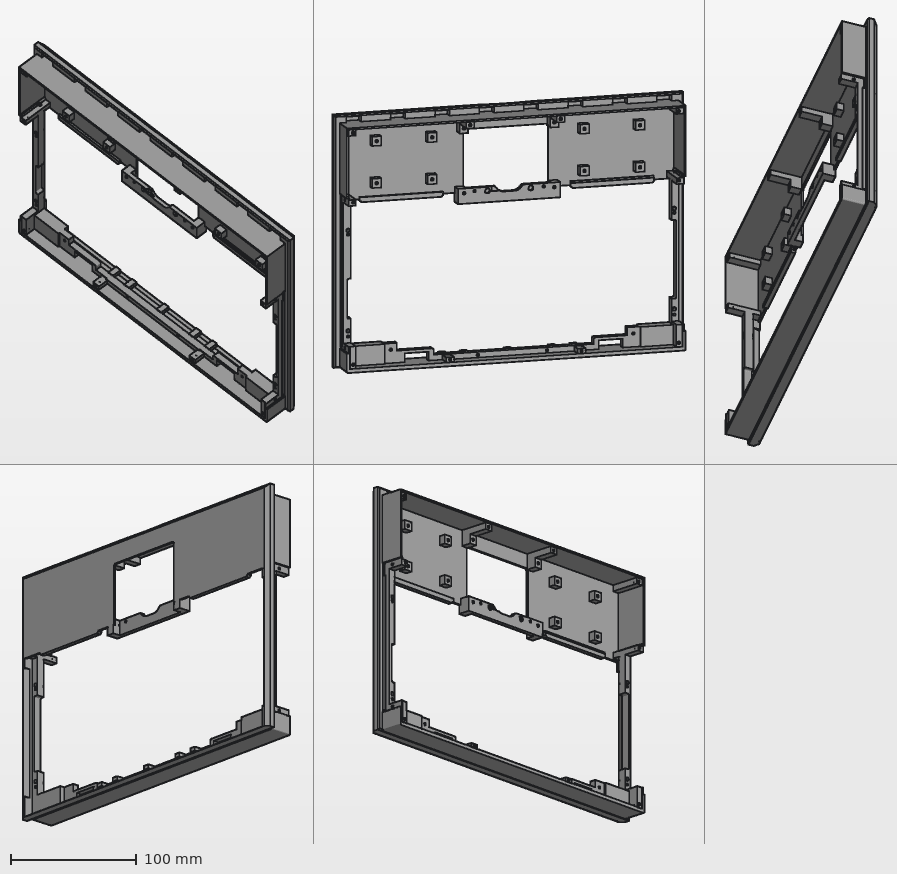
import cadquery as cq

LENGTH = 290.0
DEPTH = 29.0
HEIGHT = 205.5
RIGHT = LENGTH / 2
FRONT, BACK = -DEPTH / 2, DEPTH / 2
BOTTOM, TOP = -HEIGHT / 2, HEIGHT / 2

RIM_FRONT = 5.5
RIM_BACK_CHAMFER = 3.5
RIM_FRONT_CHAMFER = 1.2
FLOOR_TOP = BOTTOM + 3.2
WALL = 1.5
SHELL_RIGHT = 140.6
SHELL_TOP = 96.5
SHELL_INNER_RIGHT = SHELL_RIGHT - WALL
SHELL_INNER_TOP = SHELL_TOP - WALL
UPPER_WALL_BOTTOM = 39.2
LOWER_WALL_TOP = -87.0
FLOOR_CORNER_FILLET = 1.5
BEVEL_START = 9.0
FLOOR_BEVEL = 3.0
SIDE_BEVEL = 2.0
SIDE_BEVEL_BOTTOM, SIDE_BEVEL_TOP = -85.3, 23.8

RIM_POCKET_COUNT = 8
RIM_POCKET_PITCH = 36.8
RIM_POCKET_WIDTH = 12.2
RIM_POCKET_DEPTH = 6.5
RIM_POCKET_TOP = 101.2

SCOOP_WIDTH = 44.0
SCOOP_DEPTH = 0.5
SCOOP_REACH = 3.0

PLATE_FRONT = 12.8
PLATE_BOTTOM = 31.5
GAP_CENTRE = -0.3
GAP_WIDTH = 70.5
GAP_TOP = 83.0

BOSS_SIZE = 7.5
BOSS_FRONT = 7.0
BOSS_X_NEAR, BOSS_X_FAR = 63.2, 109.3
BOSS_Z_UPPER_LEFT = 79.5
BOSS_Z_UPPER_RIGHT = 78.0
BOSS_ROW_PITCH = 34.2

LEDGE_NEAR, LEDGE_FAR = 53.0, 122.0
LEDGE_FRONT = 10.7
LEDGE_BOTTOM, LEDGE_TOP = 29.5, 33.5
LEDGE_CHAMFER = 1.5
RIDGE_TOP = 35.0
RIDGE_FRONT = 11.5

SCREW_DIAMETER = 2.2
PIN_DIAMETER = 2.0
SLOT_DIAMETER = 3.0
LENS_DIAMETER = 4.0
BLIND_DEPTH = 4.4

BAR_WIDTH = 85.0
BAR_BOTTOM, BAR_TOP = 24.5, 36.8
BAR_FRONT = 3.8
BAR_THICKNESS = 3.8
BAR_LUG_WIDTH = 7.0
BAR_SCREW_X, BAR_PIN_X, BAR_LENS_X = 37.5, 28.7, 18.0
BAR_SCREW_Z, BAR_PIN_Z, BAR_LENS_Z = 33.0, 34.2, 33.5
NOTCH_BOTTOM = 32.2
NOTCH_HALF_TOP, NOTCH_HALF_BOTTOM = 11.5, 4.0
POCKET_LEFT, POCKET_RIGHT, POCKET_BOTTOM = -14.8, -7.2, 33.0
POCKET_DEPTH = 1.7
COLUMN_NEAR, COLUMN_FAR = 34.2, 41.0
COLUMN_BOTTOM, COLUMN_STEP = 81.8, 89.5
COLUMN_FRONT = -13.3
COLUMN_HOLES_Z = (85.8, 92.2)

STRIP_INNER = 133.0
STRIP_FRONT, STRIP_BACK = -0.5, 6.5
POST_BOTTOM = 90.0
POST_HOLE_X, POST_HOLE_Z = 135.0, 92.2
RAIL_OUTER = 138.0
RAIL_BOTTOM, RAIL_TOP = 33.0, 38.0
LOWER_RAIL_TOP = -81.5
LOWER_RAIL_FRONT = -14.0
RIB_FRONT, RIB_END_FRONT = 3.2, 4.4
RIB_OUTER = 140.0
RIB_BOTTOM, RIB_TOP = -85.3, 28.5
RAIL_HOLE_X = 135.0
RAIL_HOLE_Z, LOWER_RAIL_HOLE_Z = 36.0, -96.3
SIDE_HOLE_Y = -4.0
SIDE_HOLES_Z = (36.0, -84.5)
RELIEF_FILLET = 1.2
RELIEF_BOTTOM_LEFT, RELIEF_TOP_LEFT, RELIEF_X_LEFT = -61.8, -29.3, 136.0
RELIEF_BOTTOM_RIGHT, RELIEF_TOP_RIGHT, RELIEF_X_RIGHT = -63.2, 1.0, 137.0
STRIP_HOLE_X = 135.5
STRIP_PINS_Z = (6.7, -76.3)
STRIP_SLOTS_Z = (10.2, -71.5)

BLOCK_INNER = 106.0
BLOCK_TOP = -83.5
BLOCK_FRONT, BLOCK_BACK = -4.5, 6.5
SHELF_FRONT, SHELF_BACK = -3.2, 2.3
SHELF_INNER = 95.7
SHELF_HOLE_X, SHELF_HOLE_Z = 100.5, -88.7
BRIDGE_TOP = -90.0
BRIDGE_LEFT, BRIDGE_RIGHT = -65.0, 67.5
BRIDGE_FILLET = 1.7
BEAM_TOP = -95.0
BEAM_FRONT = -4.0
BEAM_HALF = 52.8
BEAM_HOLE_X, BEAM_HOLE_Z = 28.7, -97.5
WINDOW_TOP = -92.5
WINDOW_WIDTH = 19.7
WINDOW_CENTRES = (-79.2, 81.8)
CLIP_WIDTH = 6.7
CLIP_X = 54.5
CLIP_FRONT = -13.3
CLIP_TOP = -95.7
CLIP_HOLE_Z = -97.5
LUG_CENTRES = (-54.5, -36.5, 0.0, 36.5, 54.5)
LUG_WIDTH = 5.2
LUG_TOP = -96.3
LUG_BACK = 11.5


def block(x0, x1, y0, y1, z0, z1):
    """Box between two opposite corners; the X limits may come in either order."""
    size = (abs(x1 - x0), y1 - y0, z1 - z0)
    return cq.Workplane("XY").box(*size).translate(((x0 + x1) / 2, (y0 + y1) / 2, (z0 + z1) / 2))


def both_sides(inner, outer, y0, y1, z0, z1, centre=0.0):
    """The same box on the left and on the right of a centre line."""
    left = block(centre - outer, centre - inner, y0, y1, z0, z1)
    right = block(centre + inner, centre + outer, y0, y1, z0, z1)
    return left.union(right)


def bore(x, z, diameter, start, length):
    """Round cutter along +Y from the plane Y = start."""
    return cq.Workplane("XZ", origin=(x, start, z)).circle(diameter / 2).extrude(-length)


def prism(points, y0, y1):
    """Outline in X and Z, extended from y0 to y1."""
    return cq.Workplane("XZ", origin=(0, y0, 0)).polyline(points).close().extrude(y0 - y1)


def make_rim():
    rim = block(-RIGHT, RIGHT, RIM_FRONT, BACK, BOTTOM, TOP)
    rim = rim.faces(">Y").edges("not <Z").chamfer(RIM_BACK_CHAMFER)
    rim = rim.faces("<Y").edges().chamfer(RIM_FRONT_CHAMFER)
    opening = block(-SHELL_INNER_RIGHT, SHELL_INNER_RIGHT, RIM_FRONT, BACK, FLOOR_TOP, SHELL_INNER_TOP)
    return cut_opening_bevel(rim.cut(opening))


def cut_opening_bevel(rim):
    """Bevel at the back of the opening, along the floor and along most of both sides below the plates."""
    floor_outline = [(BEVEL_START, FLOOR_TOP), (BACK, FLOOR_TOP), (BACK, FLOOR_TOP - FLOOR_BEVEL)]
    floor = cq.Workplane("YZ").polyline(floor_outline).close().extrude(SHELL_INNER_RIGHT, both=True)
    rim = rim.cut(floor)
    for side in (-1, 1):
        inner = side * SHELL_INNER_RIGHT
        side_outline = [(inner, BEVEL_START), (inner, BACK), (inner + side * SIDE_BEVEL, BACK)]
        start = cq.Workplane("XY", origin=(0, 0, SIDE_BEVEL_BOTTOM))
        bevel = start.polyline(side_outline).close().extrude(SIDE_BEVEL_TOP - SIDE_BEVEL_BOTTOM)
        rim = rim.cut(bevel)
    return rim


def cut_scoop(body):
    """Shallow cylindrical scoop that slopes down to the top back chamfer."""
    edge = (0, BACK - RIM_BACK_CHAMFER, TOP)
    across = cq.Plane(origin=edge, xDir=(1, 0, 0), normal=(0, -SCOOP_REACH, SCOOP_DEPTH))
    half = SCOOP_WIDTH / 2
    outline = cq.Workplane(across).moveTo(-half, 0).threePointArc((0, -SCOOP_DEPTH), (half, 0))
    scoop = outline.lineTo(half, RIM_BACK_CHAMFER).lineTo(-half, RIM_BACK_CHAMFER).close()
    return body.cut(scoop.extrude(2 * SCOOP_REACH, both=True))


def cut_rim_pockets(body):
    half = RIM_POCKET_WIDTH / 2
    pocket_back = RIM_FRONT + RIM_POCKET_DEPTH
    for i in range(RIM_POCKET_COUNT):
        x = (i - (RIM_POCKET_COUNT - 1) / 2) * RIM_POCKET_PITCH
        body = body.cut(block(x - half, x + half, RIM_FRONT, pocket_back, SHELL_TOP, RIM_POCKET_TOP))
    return body


def make_shell():
    shell = block(-SHELL_RIGHT, SHELL_RIGHT, FRONT, RIM_FRONT, BOTTOM, SHELL_TOP)
    shell = shell.edges("|Y and <Z").fillet(FLOOR_CORNER_FILLET)
    inside = block(-SHELL_INNER_RIGHT, SHELL_INNER_RIGHT, FRONT, RIM_FRONT, FLOOR_TOP, SHELL_INNER_TOP)
    side_gap = block(-RIGHT, RIGHT, FRONT, RIM_FRONT, LOWER_WALL_TOP, UPPER_WALL_BOTTOM)
    return shell.cut(inside).cut(side_gap)


def make_plates():
    plates = block(-SHELL_RIGHT, SHELL_RIGHT, PLATE_FRONT, BACK, PLATE_BOTTOM, SHELL_TOP)
    half = GAP_WIDTH / 2
    gap = block(GAP_CENTRE - half, GAP_CENTRE + half, PLATE_FRONT, BACK, PLATE_BOTTOM, GAP_TOP)
    plates = plates.cut(gap)
    for side, upper_z in ((-1, BOSS_Z_UPPER_LEFT), (1, BOSS_Z_UPPER_RIGHT)):
        for x in (side * BOSS_X_NEAR, side * BOSS_X_FAR):
            for z in (upper_z, upper_z - BOSS_ROW_PITCH):
                plates = plates.union(make_boss(x, z))
        ledge = block(side * LEDGE_NEAR, side * LEDGE_FAR, LEDGE_FRONT, BACK, LEDGE_BOTTOM, LEDGE_TOP)
        plates = plates.union(ledge.edges("|Y and <Z").chamfer(LEDGE_CHAMFER))
    return plates.union(block(LEDGE_NEAR, LEDGE_FAR, RIDGE_FRONT, BACK, LEDGE_TOP, RIDGE_TOP))


def make_boss(x, z):
    half = BOSS_SIZE / 2
    boss = block(x - half, x + half, BOSS_FRONT, BACK, z - half, z + half)
    return boss.cut(bore(x, z, SCREW_DIAMETER, BOSS_FRONT, BLIND_DEPTH))


def make_camera_bar():
    half = BAR_WIDTH / 2
    bar_back = BAR_FRONT + BAR_THICKNESS
    bar = block(GAP_CENTRE - half, GAP_CENTRE + half, BAR_FRONT, bar_back, BAR_BOTTOM, BAR_TOP)
    notch = (
        cq.Workplane("XZ", origin=(GAP_CENTRE, BAR_FRONT, 0))
        .moveTo(-NOTCH_HALF_TOP, BAR_TOP)
        .spline([(-NOTCH_HALF_BOTTOM, NOTCH_BOTTOM)], tangents=[(1, -1), (1, 0)], includeCurrent=True)
        .lineTo(NOTCH_HALF_BOTTOM, NOTCH_BOTTOM)
        .spline([(NOTCH_HALF_TOP, BAR_TOP)], tangents=[(1, 0), (1, 1)], includeCurrent=True)
        .close()
        .extrude(-BAR_THICKNESS)
    )
    bar = bar.cut(notch)
    pocket_back = BAR_FRONT + POCKET_DEPTH
    bar = bar.cut(block(POCKET_LEFT, POCKET_RIGHT, BAR_FRONT, pocket_back, POCKET_BOTTOM, BAR_TOP))
    bar = bar.union(both_sides(half - BAR_LUG_WIDTH, half, BAR_FRONT, BACK, BAR_BOTTOM, BAR_TOP, GAP_CENTRE))
    for side in (-1, 1):
        for x, z, diameter, length in (
            (BAR_SCREW_X, BAR_SCREW_Z, SCREW_DIAMETER, BLIND_DEPTH),
            (BAR_PIN_X, BAR_PIN_Z, PIN_DIAMETER, BAR_THICKNESS),
            (BAR_LENS_X, BAR_LENS_Z, LENS_DIAMETER, BAR_THICKNESS / 2),
        ):
            bar = bar.cut(bore(GAP_CENTRE + side * x, z, diameter, BAR_FRONT, length))
    return bar


def make_columns():
    columns = both_sides(COLUMN_NEAR, COLUMN_FAR, BAR_FRONT, BACK, COLUMN_BOTTOM, SHELL_TOP, GAP_CENTRE)
    heads = both_sides(COLUMN_NEAR, COLUMN_FAR, COLUMN_FRONT, BAR_FRONT, COLUMN_STEP, SHELL_TOP, GAP_CENTRE)
    columns = columns.union(heads)
    for side in (-1, 1):
        x = GAP_CENTRE + side * (COLUMN_NEAR + COLUMN_FAR) / 2
        for z, start in zip(COLUMN_HOLES_Z, (BAR_FRONT, COLUMN_FRONT)):
            columns = columns.cut(bore(x, z, SCREW_DIAMETER, start, BLIND_DEPTH))
    return columns


def make_posts():
    posts = both_sides(STRIP_INNER, SHELL_RIGHT, COLUMN_FRONT, BACK, POST_BOTTOM, SHELL_TOP)
    for side in (-1, 1):
        posts = posts.cut(bore(side * POST_HOLE_X, POST_HOLE_Z, SCREW_DIAMETER, COLUMN_FRONT, BLIND_DEPTH))
    return posts


def make_side(side, relief_x, relief_bottom, relief_top):
    """Strip along one side with its relief and holes, and the rails at both of its ends."""
    strip = block(side * STRIP_INNER, side * SHELL_INNER_RIGHT, STRIP_FRONT, STRIP_BACK, FLOOR_TOP, RAIL_TOP)
    relief_start = STRIP_INNER - 2 * RELIEF_FILLET
    relief = block(side * relief_start, side * relief_x, STRIP_FRONT, STRIP_BACK, relief_bottom, relief_top)
    strip = strip.cut(relief.edges("|Y").fillet(RELIEF_FILLET))
    rib = block(side * relief_x, side * RIB_OUTER, RIB_FRONT, STRIP_BACK, RIB_BOTTOM, RIB_TOP)
    rib_end = block(side * relief_x, side * RIB_OUTER, RIB_END_FRONT, STRIP_BACK, RIB_TOP, UPPER_WALL_BOTTOM)
    strip = strip.union(rib).union(rib_end)

    rail_outline = [
        (side * STRIP_INNER, RAIL_BOTTOM),
        (side * SHELL_INNER_RIGHT, RAIL_BOTTOM),
        (side * SHELL_INNER_RIGHT, UPPER_WALL_BOTTOM),
        (side * SHELL_RIGHT, UPPER_WALL_BOTTOM),
        (side * SHELL_RIGHT, UPPER_WALL_BOTTOM + WALL),
        (side * SHELL_INNER_RIGHT, UPPER_WALL_BOTTOM + WALL),
        (side * RAIL_OUTER, RAIL_TOP),
        (side * STRIP_INNER, RAIL_TOP),
    ]
    strip = strip.union(prism(rail_outline, FRONT, BACK))
    strip = strip.union(
        block(side * STRIP_INNER, side * RAIL_OUTER, LOWER_RAIL_FRONT, STRIP_BACK, FLOOR_TOP, LOWER_RAIL_TOP)
    )
    strip = strip.union(
        block(side * RAIL_OUTER, side * SHELL_INNER_RIGHT, FRONT, STRIP_BACK, FLOOR_TOP, LOWER_RAIL_TOP)
    )

    for z, start in ((RAIL_HOLE_Z, FRONT), (LOWER_RAIL_HOLE_Z, LOWER_RAIL_FRONT)):
        strip = strip.cut(bore(side * RAIL_HOLE_X, z, SCREW_DIAMETER, start, BLIND_DEPTH))
    for z in STRIP_PINS_Z:
        strip = strip.cut(bore(side * STRIP_HOLE_X, z, PIN_DIAMETER, STRIP_FRONT, STRIP_BACK - STRIP_FRONT))
    for z in STRIP_SLOTS_Z:
        strip = strip.cut(bore(side * STRIP_HOLE_X, z, SLOT_DIAMETER, STRIP_FRONT, STRIP_BACK - STRIP_FRONT))
    for z in SIDE_HOLES_Z:
        start = cq.Workplane("YZ", origin=(side * SHELL_INNER_RIGHT, SIDE_HOLE_Y, z))
        strip = strip.cut(start.circle(PIN_DIAMETER / 2).extrude(-side * BLIND_DEPTH))
    return strip


def make_bottom():
    bottom = both_sides(BLOCK_INNER, STRIP_INNER, BLOCK_FRONT, BLOCK_BACK, FLOOR_TOP, BLOCK_TOP)
    shelves = both_sides(SHELF_INNER, BLOCK_INNER, SHELF_FRONT, SHELF_BACK, FLOOR_TOP, BLOCK_TOP)
    for side in (-1, 1):
        shelves = shelves.cut(bore(side * SHELF_HOLE_X, SHELF_HOLE_Z, PIN_DIAMETER, SHELF_FRONT, BLIND_DEPTH))
    bottom = bottom.union(shelves)

    for side, inner in ((-1, BRIDGE_LEFT), (1, BRIDGE_RIGHT)):
        bridge = block(side * SHELF_INNER, inner, SHELF_FRONT, SHELF_BACK, FLOOR_TOP, BRIDGE_TOP)
        inner_edge = ">X" if side < 0 else "<X"
        bridge = bridge.edges("|Y and >Z").edges(inner_edge).fillet(BRIDGE_FILLET)
        bottom = bottom.union(bridge)
    for x in WINDOW_CENTRES:
        half = WINDOW_WIDTH / 2
        bottom = bottom.cut(block(x - half, x + half, SHELF_FRONT, SHELF_BACK, FLOOR_TOP, WINDOW_TOP))

    bottom = bottom.union(block(BRIDGE_LEFT, BRIDGE_RIGHT, SHELF_FRONT, SHELF_BACK, FLOOR_TOP, BEAM_TOP))
    bottom = bottom.union(block(-BEAM_HALF, BEAM_HALF, BEAM_FRONT, SHELF_FRONT, FLOOR_TOP, BEAM_TOP))
    for x in LUG_CENTRES:
        half = LUG_WIDTH / 2
        bottom = bottom.union(block(x - half, x + half, SHELF_BACK, LUG_BACK, FLOOR_TOP, LUG_TOP))
    for side in (-1, 1):
        x, half = side * CLIP_X, CLIP_WIDTH / 2
        clip = block(x - half, x + half, CLIP_FRONT, SHELF_FRONT, FLOOR_TOP, CLIP_TOP)
        bottom = bottom.union(clip.cut(bore(x, CLIP_HOLE_Z, PIN_DIAMETER, CLIP_FRONT, BLIND_DEPTH)))
        hole = bore(side * BEAM_HOLE_X, BEAM_HOLE_Z, PIN_DIAMETER, BEAM_FRONT, SHELF_BACK - BEAM_FRONT)
        bottom = bottom.cut(hole)
    return bottom


result = cut_rim_pockets(cut_scoop(make_rim()))
result = result.union(make_shell())
result = result.union(make_plates())
result = result.union(make_camera_bar())
result = result.union(make_columns())
result = result.union(make_posts())
result = result.union(make_side(-1, RELIEF_X_LEFT, RELIEF_BOTTOM_LEFT, RELIEF_TOP_LEFT))
result = result.union(make_side(1, RELIEF_X_RIGHT, RELIEF_BOTTOM_RIGHT, RELIEF_TOP_RIGHT))
result = result.union(make_bottom())
result = result.clean()